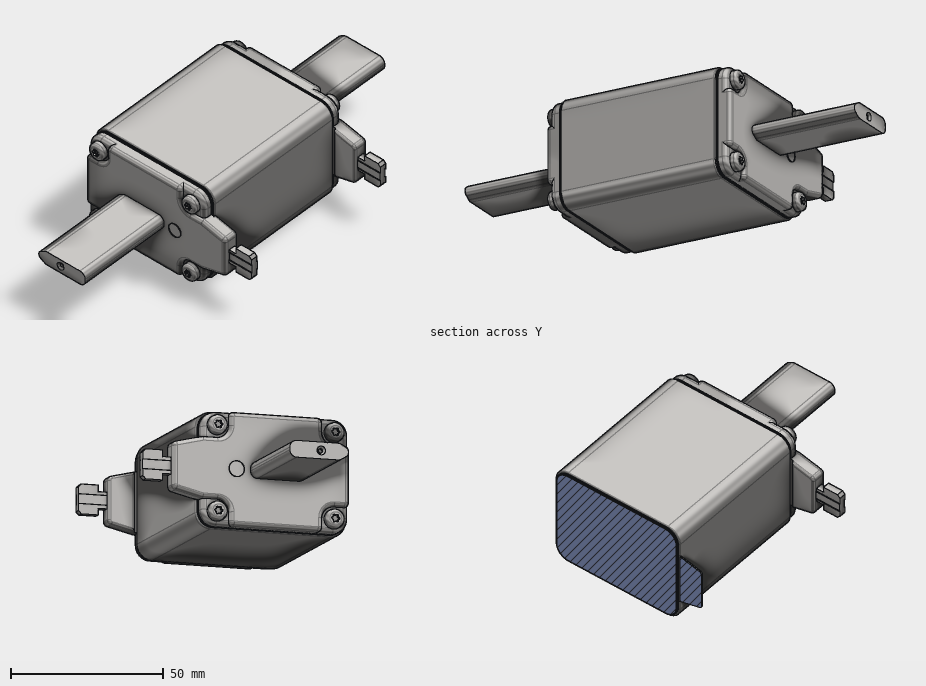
import cadquery as cq
import math

BODY_WIDTH = 52.2
BODY_HEIGHT = 39.0
BODY_LENGTH = 58.1
BODY_CORNER = 5.2
BODY_END_FILLET = 0.3
BODY_END = BODY_LENGTH / 2

CAP_SIDE_STEP = 0.6
CAP_STEP = 0.5
GASKET_THICKNESS = 0.5
GROOVE_WIDTH = 0.5
GROOVE_DEPTH = 0.3
CAP_FILLET = 1.5
EDGE_FILLET = 1.6
CAP_FACE = 35.0
CAP_BACK = BODY_END + GASKET_THICKNESS + GROOVE_WIDTH
CAP_WIDTH = BODY_WIDTH - 2 * CAP_SIDE_STEP
CAP_HEIGHT = BODY_HEIGHT - 2 * CAP_STEP
CAP_CORNER = BODY_CORNER

SCREW_X = 20.4
SCREW_Z = 14.5
RECESS_RADIUS = 4.1
RECESS_DEPTH = 1.5
RECESS_RIM_FILLET = 1.8
CAP_FLOOR = CAP_FACE - RECESS_DEPTH
RECESS_WALL_X = SCREW_X - RECESS_RADIUS
RECESS_WALL_Z = SCREW_Z - RECESS_RADIUS
HEAD_RADIUS = 3.2
HEAD_TOP = 36.0
HEAD_ROUND = 1.2
SOCKET_RADIUS = 1.0
SOCKET_LOBES = 6
SOCKET_LOBE_RADIUS = 0.37
SOCKET_DEPTH = 1.0

LUG_END = 36.0
LUG_END_HALF = 7.8
LUG_BACK = 28.9
LUG_CLEARANCE = 0.5
LUG_BACK_FILLET = 0.9

TONGUE_END = 45.9
TONGUE_HEAD_START = 39.0
TONGUE_NECK_HALF = 2.8
TONGUE_HEAD_HALF = 5.0
TONGUE_CHAMFER = 1.0
TONGUE_INNER = 30.4
TONGUE_THICKNESS = 2.7
STRIP_HALF = 1.6
STRIP_OFFSET = 0.3

MARKER_X = 13.9
MARKER_RADIUS = 2.7
MARKER_HEIGHT = 0.3

BLADE_LENGTH = 147.5
BLADE_LEFT = -11.5
BLADE_RIGHT = 9.0
BLADE_HALF = 2.8
BLADE_TIP_RADIUS = 1.8
BLADE_SHOULDER_RADIUS = 2.8
BLADE_FLANK_ANGLE = math.radians(30)
BLADE_RIGHT_ROUND = 2.4
BLADE_HOLE_X = -1.9
BLADE_HOLE_RADIUS = 0.7
BLADE_SINK_RADIUS = 1.5
BLADE_SINK_ANGLE = 90
BLADE_HOLE_DEPTH = 1.5


def at_depth(distance):
    """Sketch plane facing -Y, at the given distance from the middle of the body."""
    return cq.Workplane("XZ", origin=(0, -distance, 0))


def rounded_slab(width, height, corner, start, end):
    return at_depth(start).rect(width, height).extrude(end - start).edges("|Y").fillet(corner)


def body():
    block = rounded_slab(BODY_WIDTH, BODY_HEIGHT, BODY_CORNER, -BODY_END, BODY_END)
    return block.faces("<Y or >Y").edges().fillet(BODY_END_FILLET)


def cap_base():
    gasket_end = BODY_END + GASKET_THICKNESS
    gasket = rounded_slab(CAP_WIDTH, CAP_HEIGHT, CAP_CORNER, BODY_END, gasket_end)
    neck = rounded_slab(
        CAP_WIDTH - 2 * GROOVE_DEPTH,
        CAP_HEIGHT - 2 * GROOVE_DEPTH,
        CAP_CORNER - GROOVE_DEPTH,
        gasket_end,
        CAP_BACK,
    )
    plate = rounded_slab(CAP_WIDTH, CAP_HEIGHT, CAP_CORNER, CAP_BACK, CAP_FLOOR)
    plate = plate.faces("<Y").edges().fillet(RECESS_RIM_FILLET)
    return gasket.union(neck).union(plate)


def lug_outline(distance, start):
    """Closed trapezoid from X = start to the lug end, narrowing from the cap side."""
    cap_side = CAP_WIDTH / 2
    slope = (RECESS_WALL_Z - LUG_END_HALF) / (LUG_END - cap_side)
    start_half = RECESS_WALL_Z - slope * (start - cap_side)
    return (
        at_depth(distance)
        .polyline([(start, -start_half), (LUG_END, -LUG_END_HALF),
                   (LUG_END, LUG_END_HALF), (start, start_half)])
        .close()
    )


def cap_cross():
    """Raised cross-shaped face with recessed corners, tapering into the lug at +X."""
    thickness = CAP_FACE - CAP_BACK
    cross = at_depth(CAP_BACK).rect(CAP_WIDTH, CAP_HEIGHT).extrude(thickness)
    recesses = (
        at_depth(CAP_BACK)
        .rect(CAP_WIDTH + 2 * RECESS_WALL_X, CAP_HEIGHT + 2 * RECESS_WALL_Z, forConstruction=True)
        .vertices()
        .rect(CAP_WIDTH, CAP_HEIGHT)
        .extrude(thickness)
        .edges("|Y")
        .fillet(RECESS_RADIUS)
    )
    lug = lug_outline(CAP_BACK, CAP_WIDTH / 2).extrude(thickness)
    cross = cross.cut(recesses).union(lug)
    cross = cross.edges("|Y and (<X or >X or <Z or >Z)").fillet(EDGE_FILLET)
    return cross.faces("<Y").edges().fillet(CAP_FILLET)


def lug_back():
    """Inner part of the lug, hanging down beside the body with a small clearance."""
    block = lug_outline(LUG_BACK, BODY_WIDTH / 2 + LUG_CLEARANCE).extrude(CAP_FLOOR - LUG_BACK)
    block = block.edges("|Y and >X").fillet(EDGE_FILLET)
    return block.faces(">Y").edges().fillet(LUG_BACK_FILLET)


def tongue():
    """Flat T-shaped tongue, rooted inside the lug, with its middle strip pressed inward."""
    tongue_root = LUG_END - CAP_FILLET
    plate = (
        at_depth(TONGUE_INNER)
        .moveTo(tongue_root, -TONGUE_NECK_HALF)
        .lineTo(TONGUE_HEAD_START, -TONGUE_NECK_HALF)
        .lineTo(TONGUE_HEAD_START, -TONGUE_HEAD_HALF)
        .lineTo(TONGUE_END - TONGUE_CHAMFER, -TONGUE_HEAD_HALF)
        .lineTo(TONGUE_END, -TONGUE_HEAD_HALF + TONGUE_CHAMFER)
        .lineTo(TONGUE_END, TONGUE_HEAD_HALF - TONGUE_CHAMFER)
        .lineTo(TONGUE_END - TONGUE_CHAMFER, TONGUE_HEAD_HALF)
        .lineTo(TONGUE_HEAD_START, TONGUE_HEAD_HALF)
        .lineTo(TONGUE_HEAD_START, TONGUE_NECK_HALF)
        .lineTo(tongue_root, TONGUE_NECK_HALF)
        .close()
        .extrude(TONGUE_THICKNESS)
    )
    strip_length = TONGUE_END - tongue_root
    strip_middle = TONGUE_END - strip_length / 2

    def strip(distance):
        return (
            at_depth(distance)
            .center(strip_middle, 0)
            .rect(strip_length, 2 * STRIP_HALF)
            .extrude(STRIP_OFFSET)
        )

    outer_strip = strip(TONGUE_INNER + TONGUE_THICKNESS - STRIP_OFFSET)
    inner_strip = strip(TONGUE_INNER - STRIP_OFFSET)
    return plate.cut(outer_strip).union(inner_strip)


def screw_positions(distance):
    return at_depth(distance).rect(2 * SCREW_X, 2 * SCREW_Z, forConstruction=True).vertices()


def screw_heads():
    heads = screw_positions(CAP_BACK).circle(HEAD_RADIUS).extrude(HEAD_TOP - CAP_BACK)
    return heads.faces("<Y").edges().fillet(HEAD_ROUND)


def screw_sockets():
    """Lobed sockets cut into the screw heads."""
    bottom = HEAD_TOP - SOCKET_DEPTH
    sockets = screw_positions(bottom).circle(SOCKET_RADIUS).extrude(SOCKET_DEPTH)
    lobes = (
        screw_positions(bottom)
        .polygon(SOCKET_LOBES, 2 * SOCKET_RADIUS, forConstruction=True)
        .vertices()
        .circle(SOCKET_LOBE_RADIUS)
        .extrude(SOCKET_DEPTH)
    )
    return sockets.union(lobes)


def marker():
    return (
        at_depth(CAP_FACE)
        .center(MARKER_X, 0)
        .circle(MARKER_RADIUS)
        .extrude(MARKER_HEIGHT)
    )


def end_assembly():
    cap = cap_base().union(cap_cross()).union(lug_back()).union(tongue())
    return cap.union(screw_heads()).union(marker()).cut(screw_sockets())


def blade():
    """Flat bar with a rounded wedge on its -X edge and rounded corners on its +X edge."""
    sin_a = math.sin(BLADE_FLANK_ANGLE)
    cos_a = math.cos(BLADE_FLANK_ANGLE)
    tip_x = BLADE_LEFT + BLADE_TIP_RADIUS * (1 - sin_a)
    tip_z = BLADE_TIP_RADIUS * cos_a
    flank_end_z = BLADE_HALF - BLADE_SHOULDER_RADIUS * (1 - cos_a)
    flank_end_x = tip_x + (flank_end_z - tip_z) * cos_a / sin_a
    shoulder_x = flank_end_x + BLADE_SHOULDER_RADIUS * sin_a
    half_end = BLADE_HALF - BLADE_RIGHT_ROUND
    bar = (
        at_depth(-BLADE_LENGTH / 2)
        .moveTo(tip_x, -tip_z)
        .threePointArc((BLADE_LEFT, 0), (tip_x, tip_z))
        .lineTo(flank_end_x, flank_end_z)
        .radiusArc((shoulder_x, BLADE_HALF), BLADE_SHOULDER_RADIUS)
        .lineTo(BLADE_RIGHT - BLADE_RIGHT_ROUND, BLADE_HALF)
        .radiusArc((BLADE_RIGHT, half_end), BLADE_RIGHT_ROUND)
        .lineTo(BLADE_RIGHT, -half_end)
        .radiusArc((BLADE_RIGHT - BLADE_RIGHT_ROUND, -BLADE_HALF), BLADE_RIGHT_ROUND)
        .lineTo(shoulder_x, -BLADE_HALF)
        .radiusArc((flank_end_x, -flank_end_z), BLADE_SHOULDER_RADIUS)
        .close()
        .extrude(BLADE_LENGTH)
    )
    for face in ("<Y", ">Y"):
        bar = (
            bar.faces(face)
            .workplane(origin=(BLADE_HOLE_X, 0, 0))
            .cskHole(2 * BLADE_HOLE_RADIUS, 2 * BLADE_SINK_RADIUS, BLADE_SINK_ANGLE, BLADE_HOLE_DEPTH)
        )
    return bar


front_end = end_assembly()
result = body().union(front_end).union(front_end.mirror("XZ")).union(blade())